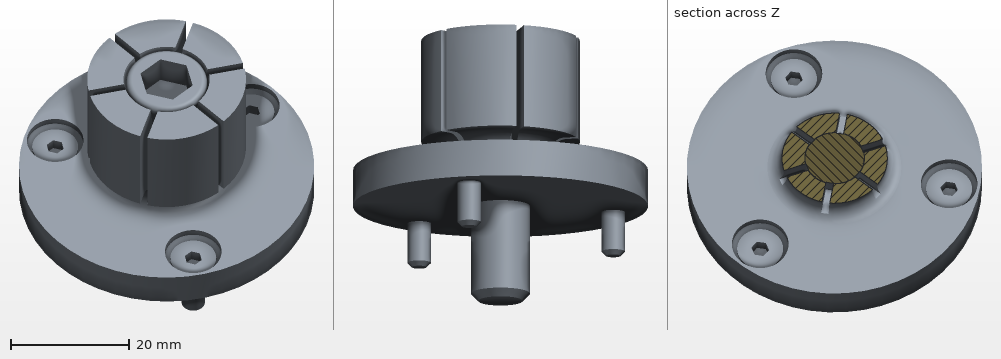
import cadquery as cq
import math

flange_radius = 25.0
flange_height = 6.2
neck_height = 4.9
collet_height = 17.5
collet_radius = 13.45
neck_radius = 8.9
neck_fillet = neck_height / 2
neck_top = flange_height + neck_height
collet_top = neck_top + collet_height

slot_count = 6
slot_width = 1.25
slot_floor = flange_height + 0.65

screw_radius = 5.0
screw_projection = 16.4
screw_tip_chamfer = 1.25
taper_mouth_radius = 7.15
taper_depth = 9.5
taper_clearance = 0.15
head_fillet = 1.0
socket_width = 8.0
socket_depth = 5.3

bore_mouth_radius = taper_mouth_radius + taper_clearance
bore_taper_depth = taper_depth * (bore_mouth_radius - screw_radius) / (taper_mouth_radius - screw_radius)

bolt_count = 3
bolt_circle_radius = 19.7
bolt_radius = 2.0
bolt_head_radius = 3.9
bolt_projection = 7.55
bolt_tip_chamfer = 0.75
bolt_socket_width = 2.6
bolt_socket_depth = 2.0
countersink_radius = 4.8
bolt_head_depth = 1.65
countersink_top = flange_height - 1.2

bolt_head_top = flange_height - bolt_head_depth
bolt_seat_top = countersink_top - (countersink_radius - bolt_head_radius)
bolt_neck_top = countersink_top - (countersink_radius - bolt_radius)


def revolve_about_z(profile):
    """Turn a closed profile, drawn as (radius, height), around the Z axis."""
    return profile.close().revolve(360, (0, 0, 0), (0, 1, 0))


def hex_prism(across_flats, top, depth):
    """Hexagonal prism hanging down from the given height, with corners on +Y and -Y."""
    corner_diameter = across_flats / math.cos(math.pi / 6)
    return (
        cq.Workplane("XY", origin=(0, 0, top))
        .transformed(rotate=(0, 0, 90))
        .polygon(6, corner_diameter)
        .extrude(-depth)
    )


def place_on_bolt_circle(shape, index):
    """Move a shape from the Z axis to one of the mounting screw positions."""
    angle = index * 360 / bolt_count
    return shape.translate((0, bolt_circle_radius, 0)).rotate((0, 0, 0), (0, 0, 1), angle)


def make_collet_blank():
    """Flange, concave neck and collet head, bored for the clamping screw."""
    fillet_end_radius = neck_radius + neck_fillet
    return revolve_about_z(
        cq.Workplane("XZ")
        .moveTo(screw_radius, 0)
        .lineTo(flange_radius, 0)
        .lineTo(flange_radius, flange_height)
        .lineTo(fillet_end_radius, flange_height)
        .threePointArc((neck_radius, flange_height + neck_fillet), (fillet_end_radius, neck_top))
        .lineTo(collet_radius, neck_top)
        .lineTo(collet_radius, collet_top)
        .lineTo(bore_mouth_radius, collet_top)
        .lineTo(screw_radius, collet_top - bore_taper_depth)
    )


def make_slot_cutter(index):
    """Radial slot from the bore out through one side of the collet."""
    return (
        cq.Workplane("XY", origin=(0, 0, slot_floor))
        .box(collet_radius, slot_width, collet_top - slot_floor, centered=(False, True, False))
        .rotate((0, 0, 0), (0, 0, 1), index * 360 / slot_count)
    )


def make_bolt_hole():
    """Close-fitting hole with a countersink and a short straight mouth."""
    return revolve_about_z(
        cq.Workplane("XZ")
        .lineTo(bolt_radius, 0)
        .lineTo(bolt_radius, bolt_neck_top)
        .lineTo(countersink_radius, countersink_top)
        .lineTo(countersink_radius, flange_height)
        .lineTo(0, flange_height)
    )


def make_collet():
    """Collet with its jaws separated and its mounting holes cut."""
    collet = make_collet_blank()
    for index in range(slot_count):
        collet = collet.cut(make_slot_cutter(index))
    for index in range(bolt_count):
        collet = collet.cut(place_on_bolt_circle(make_bolt_hole(), index))
    return collet


def make_clamping_screw():
    """Straight shank with a rounded, tapered socket head."""
    screw = revolve_about_z(
        cq.Workplane("XZ")
        .moveTo(0, -screw_projection)
        .lineTo(screw_radius - screw_tip_chamfer, -screw_projection)
        .lineTo(screw_radius, -screw_projection + screw_tip_chamfer)
        .lineTo(screw_radius, collet_top - taper_depth)
        .lineTo(taper_mouth_radius, collet_top)
        .lineTo(0, collet_top)
    )
    screw = screw.faces(">Z").edges().fillet(head_fillet)
    return screw.cut(hex_prism(socket_width, collet_top, socket_depth))


def make_mounting_bolt(index):
    """Countersunk screw with a thin straight rim around its head."""
    bolt = revolve_about_z(
        cq.Workplane("XZ")
        .moveTo(0, -bolt_projection)
        .lineTo(bolt_radius - bolt_tip_chamfer, -bolt_projection)
        .lineTo(bolt_radius, -bolt_projection + bolt_tip_chamfer)
        .lineTo(bolt_radius, bolt_neck_top)
        .lineTo(bolt_head_radius, bolt_seat_top)
        .lineTo(bolt_head_radius, bolt_head_top)
        .lineTo(0, bolt_head_top)
    )
    bolt = bolt.cut(hex_prism(bolt_socket_width, bolt_head_top, bolt_socket_depth))
    return place_on_bolt_circle(bolt, index)


collet = make_collet()
clamping_screw = make_clamping_screw()
mounting_bolts = [make_mounting_bolt(index) for index in range(bolt_count)]

result = cq.Compound.makeCompound(
    [collet.val(), clamping_screw.val(), *[bolt.val() for bolt in mounting_bolts]]
)